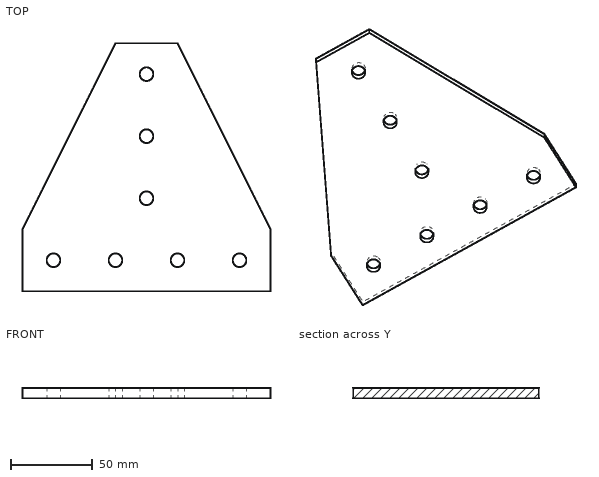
import cadquery as cq

side = 152.4
thickness = 6.4
hole_diameter = 8.2
pitch = side / 4
edge = pitch / 2

half = side / 2
plate = (
    cq.Workplane("XY")
    .moveTo(-half, -half)
    .lineTo(half, -half)
    .lineTo(half, -half + pitch)
    .lineTo(pitch / 2, half)
    .lineTo(-pitch / 2, half)
    .lineTo(-half, -half + pitch)
    .close()
    .extrude(thickness)
)

base_holes = [(-half + edge + i * pitch, -half + edge) for i in range(4)]
stem_holes = [(0, half - edge - i * pitch) for i in range(3)]
holes = (
    cq.Workplane("XY")
    .pushPoints(base_holes + stem_holes)
    .circle(hole_diameter / 2)
    .extrude(thickness)
)

result = plate.cut(holes)